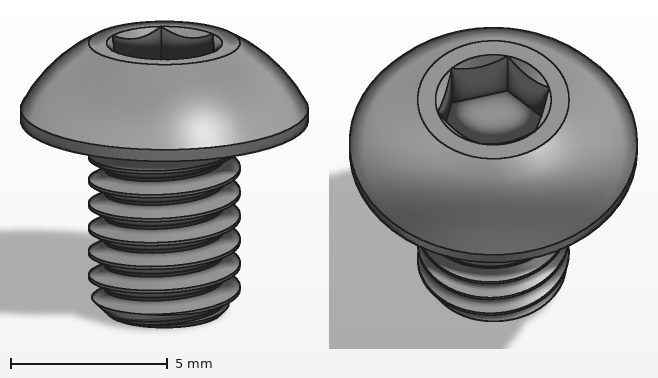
import cadquery as cq
import math


head_radius = 4.585
head_height = 2.57
rim_height = 0.385
flat_radius = 2.41

socket_flats = 3.19
socket_depth = 1.76
socket_radius = socket_flats / math.sqrt(3)
lead_in_angle = math.radians(45)
lead_in_end_radius = 0.92

shank_length = 6.355
turns_on_shank = 8
pitch = shank_length / turns_on_shank
major_radius = 2.41
crest_width = pitch / 8
root_width = pitch / 8
thread_angle = math.radians(60)
thread_depth = (pitch - crest_width - root_width) / 2 / math.tan(thread_angle / 2)
root_radius = major_radius - thread_depth
first_crest_depth = 0.14
tip_radius = 1.82
ridge_overlap = 0.03
overrun_turns = 2
envelope_clearance = 0.09


def dome_arc_middle():
    """Point halfway along the dome, a sphere centred on the screw axis."""
    dome_rise = head_height - rim_height
    drop = (head_radius**2 - flat_radius**2 - dome_rise**2) / (2 * dome_rise)
    centre_z = rim_height - drop
    sphere_radius = math.hypot(head_radius, drop)
    rim_angle = math.atan2(drop, head_radius)
    top_angle = math.atan2(drop + dome_rise, flat_radius)
    angle = (rim_angle + top_angle) / 2
    return sphere_radius * math.cos(angle), centre_z + sphere_radius * math.sin(angle)


def make_head():
    return (
        cq.Workplane("XZ")
        .lineTo(head_radius, 0)
        .lineTo(head_radius, rim_height)
        .threePointArc(dome_arc_middle(), (flat_radius, head_height))
        .lineTo(0, head_height)
        .close()
        .revolve(360, (0, 0), (0, 1))
    )


def make_socket():
    """Hexagonal pocket plus the conical lead-in that touches its corners."""
    hexagon = (
        cq.Workplane("XY", origin=(0, 0, head_height - socket_depth))
        .transformed(rotate=(0, 0, 90))
        .polygon(6, 2 * socket_radius)
        .extrude(socket_depth)
    )
    lead_in_depth = (socket_radius - lead_in_end_radius) / math.tan(lead_in_angle)
    lead_in = (
        cq.Workplane("XZ", origin=(0, 0, head_height))
        .lineTo(socket_radius, 0)
        .lineTo(lead_in_end_radius, -lead_in_depth)
        .lineTo(0, -lead_in_depth)
        .close()
        .revolve(360, (0, 0), (0, 1))
    )
    return hexagon.union(lead_in)


def make_thread_ridge():
    """Right-handed helical ridge that runs past both ends of the shank."""
    start_z = -first_crest_depth - (turns_on_shank + overrun_turns) * pitch
    helix_height = (turns_on_shank + 2 * overrun_turns) * pitch
    helix = cq.Wire.makeHelix(pitch, helix_height, root_radius, center=cq.Vector(0, 0, start_z))
    half_crest = crest_width / 2
    half_base = half_crest + (thread_depth + ridge_overlap) * math.tan(thread_angle / 2)
    return (
        cq.Workplane("XZ", origin=(0, 0, start_z))
        .moveTo(root_radius - ridge_overlap, -half_base)
        .lineTo(major_radius, -half_crest)
        .lineTo(major_radius, half_crest)
        .lineTo(root_radius - ridge_overlap, half_base)
        .close()
        .sweep(cq.Workplane("XY").add(helix), isFrenet=True)
    )


def chamfered_rod(radius):
    """Rod the length of the shank whose 45-degree end chamfer leaves the tip radius."""
    rod = cq.Workplane("XY").circle(radius).extrude(-shank_length)
    return rod.faces("<Z").chamfer(radius - tip_radius)


def make_shank():
    envelope = chamfered_rod(major_radius + envelope_clearance)
    ridge = make_thread_ridge().intersect(envelope)
    return chamfered_rod(root_radius).union(ridge)


result = make_head().union(make_shank()).cut(make_socket())